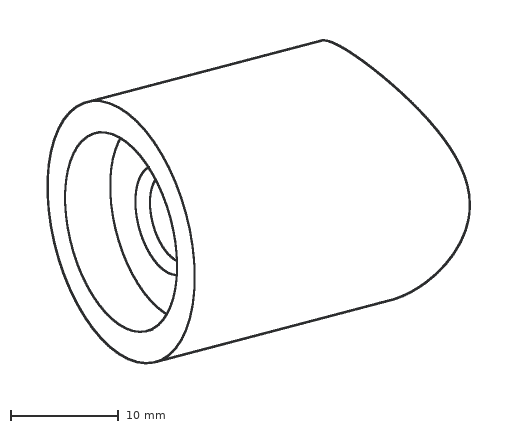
import cadquery as cq
import math

outer_diameter = 25.0
overall_length = 30.55
saddle_radius = 16.83

recess_diameter = 19.0
recess_depth = 5.0

bore_diameter = 8.5
countersink_diameter = 10.45
countersink_angle = 90.0

outer_radius = outer_diameter / 2
tube_axis_y = overall_length + math.sqrt(saddle_radius**2 - outer_radius**2)


def cylinder_along_y(diameter, length):
    """Solid cylinder on the Y axis, from the front face towards +Y."""
    return cq.Workplane("XZ").circle(diameter / 2).extrude(-length)


def tube():
    """Round tube, upright along Z, whose wall shapes the saddle."""
    plane = cq.Workplane("XY").center(0, tube_axis_y)
    return plane.circle(saddle_radius).extrude(outer_diameter, both=True)


def countersink():
    """Cone at the mouth of the bore, on the recess floor."""
    depth = (countersink_diameter - bore_diameter) / 2 / math.tan(math.radians(countersink_angle / 2))
    cone = cq.Solid.makeCone(
        countersink_diameter / 2,
        bore_diameter / 2,
        depth,
        pnt=cq.Vector(0, recess_depth, 0),
        dir=cq.Vector(0, 1, 0),
    )
    return cq.Workplane(obj=cone)


body = cylinder_along_y(outer_diameter, overall_length)
recess = cylinder_along_y(recess_diameter, recess_depth)
bore = cylinder_along_y(bore_diameter, overall_length)

result = body.cut(tube()).cut(recess).cut(bore).cut(countersink())